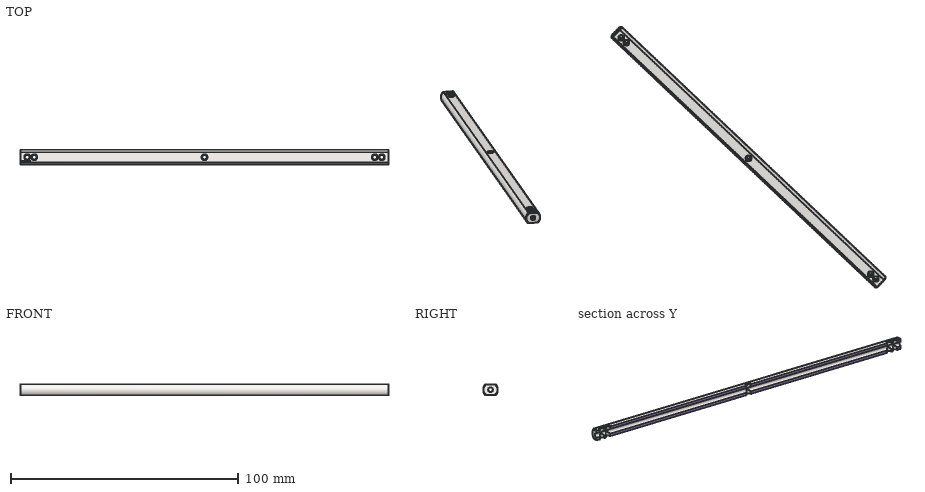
import cadquery as cq

ROD_LENGTH = 162.5
ROD_DIAMETER = 6.6
ACROSS_FLATS = 5.0
END_CHAMFER = 0.3

BORE_DIAMETER = 2.0
CROSS_HOLE_DIAMETER = 2.0
COUNTERSINK_DEPTH = 0.35
END_HOLE_SETBACK = 3.15
END_HOLE_PITCH = 3.1
HOLES_PER_END = 2

GROOVE_LENGTH = 4.6
GROOVE_WIDTH = 0.4
GROOVE_DEPTH = 0.1
GROOVE_Y = -1.7


def flatted_rod():
    """Round bar with flats at top and bottom and chamfered ends."""
    rod = cq.Workplane("YZ").circle(ROD_DIAMETER / 2).extrude(ROD_LENGTH / 2, both=True)
    flats = cq.Workplane("XY").box(ROD_LENGTH, ROD_DIAMETER, ACROSS_FLATS)
    return rod.intersect(flats).faces("<X or >X").chamfer(END_CHAMFER)


def axial_bore():
    """Cutter for the bore running the full length of the rod."""
    return cq.Workplane("YZ").circle(BORE_DIAMETER / 2).extrude(ROD_LENGTH / 2, both=True)


def cross_hole(x):
    """Cutter for a hole through both flats at x, with a 45 degree countersink at each mouth."""
    half_height = ACROSS_FLATS / 2
    hole_radius = CROSS_HOLE_DIAMETER / 2
    mouth_radius = hole_radius + COUNTERSINK_DEPTH
    sink_floor = half_height - COUNTERSINK_DEPTH
    profile = [
        (0, -half_height),
        (mouth_radius, -half_height),
        (hole_radius, -sink_floor),
        (hole_radius, sink_floor),
        (mouth_radius, half_height),
        (0, half_height),
    ]
    cutter = cq.Workplane("XZ").polyline(profile).close().revolve(360, (0, 0), (0, 1))
    return cutter.translate((x, 0, 0))


def cross_hole_positions():
    """X of the centre hole and of the hole pairs near both ends."""
    positions = [0]
    for end in (-1, 1):
        for index in range(HOLES_PER_END):
            distance_from_end = END_HOLE_SETBACK + index * END_HOLE_PITCH
            positions.append(end * (ROD_LENGTH / 2 - distance_from_end))
    return positions


def end_groove():
    """Cutter for the shallow groove that marks the -X end of the top flat."""
    groove = cq.Workplane("XY").box(GROOVE_LENGTH, GROOVE_WIDTH, GROOVE_DEPTH)
    groove_x = (GROOVE_LENGTH - ROD_LENGTH) / 2
    groove_z = (ACROSS_FLATS - GROOVE_DEPTH) / 2
    return groove.translate((groove_x, GROOVE_Y, groove_z))


result = flatted_rod().cut(axial_bore()).cut(end_groove())
for hole_x in cross_hole_positions():
    result = result.cut(cross_hole(hole_x))